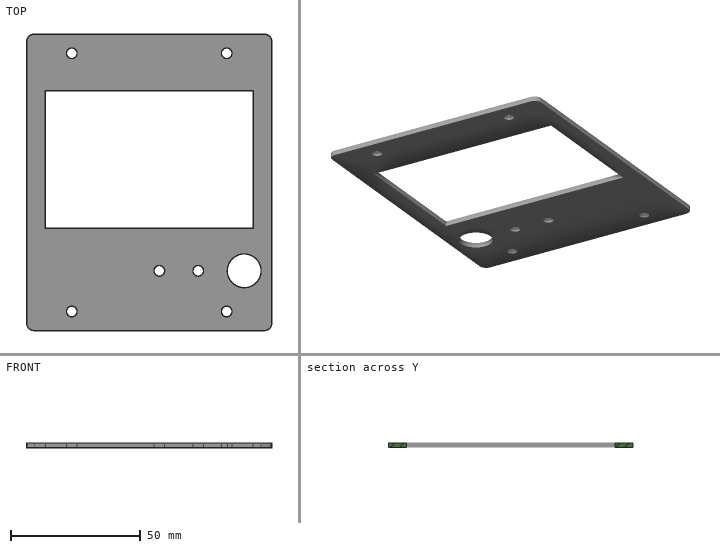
import cadquery as cq

width = 95.1
length = 115.0
thickness = 2.0
corner_radius = 3.0

window_width = 80.5
window_length = 53.2
window_center_y = 8.9

small_hole_diameter = 4.0
mount_spacing_x = 60.0
mount_spacing_y = 100.0

control_row_y = -34.3
control_hole_xs = (3.9, 19.0)
large_hole_diameter = 13.0
large_hole_x = 36.8

plate = (
    cq.Workplane("XY")
    .rect(width, length)
    .extrude(thickness)
    .edges("|Z")
    .fillet(corner_radius)
)

window = (
    cq.Workplane("XY")
    .center(0, window_center_y)
    .rect(window_width, window_length)
    .extrude(thickness)
)

mount_holes = (
    cq.Workplane("XY")
    .rect(mount_spacing_x, mount_spacing_y, forConstruction=True)
    .vertices()
    .circle(small_hole_diameter / 2)
    .extrude(thickness)
)

control_holes = (
    cq.Workplane("XY")
    .pushPoints([(x, control_row_y) for x in control_hole_xs])
    .circle(small_hole_diameter / 2)
    .extrude(thickness)
)

large_hole = (
    cq.Workplane("XY")
    .center(large_hole_x, control_row_y)
    .circle(large_hole_diameter / 2)
    .extrude(thickness)
)

result = plate.cut(window).cut(mount_holes).cut(control_holes).cut(large_hole)